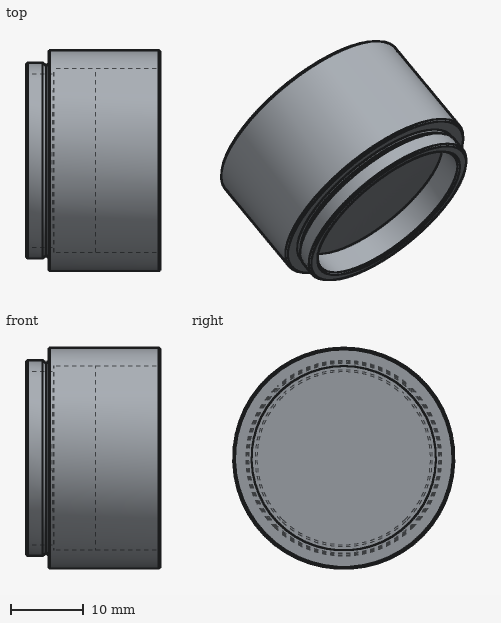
import cadquery as cq
import math


mount_length = 18.51
body_radius = 30.48 / 2
spigot_radius = 13.5
edge_chamfer = 0.25

spigot_length = 2.25
groove_depth = 0.4
groove_radius = spigot_radius - groove_depth
shoulder_depth = 3.07
groove_outer_wall_height = 0.3
groove_shoulder_radius = groove_radius + groove_outer_wall_height
groove_bottom_depth = shoulder_depth - groove_outer_wall_height

aperture_radius = 11.95
lens_radius = 25.4 / 2
lens_seat_depth = 3.8

lens_crown_height = 0.21
lens_thickness = 6.0
lens_face_radius = (aperture_radius**2 + lens_crown_height**2) / (2 * lens_crown_height)

front = -mount_length / 2
back = mount_length / 2
spigot_end = front + spigot_length
groove_bottom = front + groove_bottom_depth
shoulder = front + shoulder_depth
lens_seat = front + lens_seat_depth
lens_vertex = lens_seat - lens_crown_height
lens_back = lens_vertex + lens_thickness


def lens_face_station(radius):
    """X position of the spherical lens face at a given distance from the axis."""
    return lens_vertex + lens_face_radius - math.sqrt(lens_face_radius**2 - radius**2)


def revolve_about_axis(outline):
    """Turn a half section, drawn as (X, radius), into a solid around the X axis."""
    return outline.close().revolve(360, (0, 0, 0), (1, 0, 0))


def make_mount():
    outline = (
        cq.Workplane("XZ")
        .moveTo(front + edge_chamfer, aperture_radius)
        .lineTo(front, aperture_radius + edge_chamfer)
        .lineTo(front, spigot_radius - edge_chamfer)
        .lineTo(front + edge_chamfer, spigot_radius)
        .lineTo(spigot_end, spigot_radius)
        .lineTo(groove_bottom, groove_radius)
        .lineTo(shoulder, groove_shoulder_radius)
        .lineTo(shoulder, body_radius - edge_chamfer)
        .lineTo(shoulder + edge_chamfer, body_radius)
        .lineTo(back - edge_chamfer, body_radius)
        .lineTo(back, body_radius - edge_chamfer)
        .lineTo(back, lens_radius)
        .lineTo(lens_seat, lens_radius)
        .lineTo(lens_seat, aperture_radius)
    )
    return revolve_about_axis(outline)


def make_lens():
    outline = (
        cq.Workplane("XZ")
        .moveTo(lens_vertex, 0)
        .threePointArc(
            (lens_face_station(lens_radius / 2), lens_radius / 2),
            (lens_face_station(lens_radius), lens_radius),
        )
        .lineTo(lens_back, lens_radius)
        .lineTo(lens_back, 0)
    )
    return revolve_about_axis(outline)


mount = make_mount()
lens = make_lens()

result = cq.Compound.makeCompound([mount.val(), lens.val()])